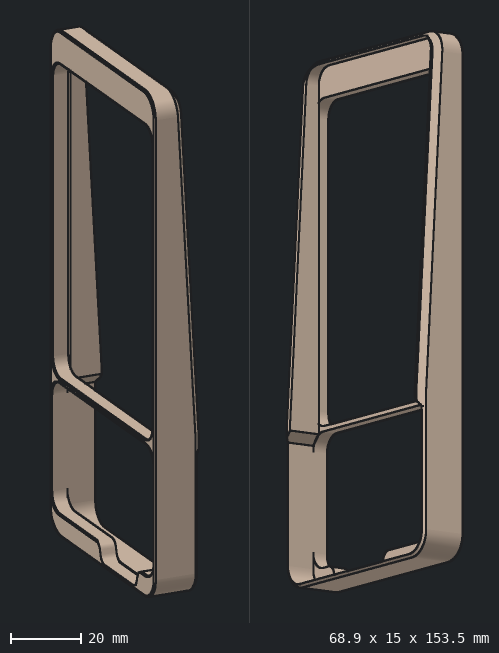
import cadquery as cq

width = 68.9
height = 153.5
depth = 15.0
top_depth = 9.0
taper_start = 47.5
corner_radius = 7.0
back_chamfer = 2.0
front_chamfer = 0.5

plate_thickness = 5.0
wall = 0.9
top_wall = 1.2
cavity_radius = corner_radius - wall

window_radius = 5.0
window_chamfer = 0.3
upper_margin = 1.5
upper_bottom = 47.9
upper_top = height - 10.3
bar_thickness = 1.5
lower_bottom = 6.8
lower_top = upper_bottom - bar_thickness

left_rail_inset = 2.9
right_rail_inset = 3.7
rail_end = 45.9
rail_base = 43.0
rail_top_radius = 5.0

notch_center = 10.9
notch_floor = 1.0
notch_floor_width = 22.7
notch_mouth_width = 25.8
notch_radius = 2.8


def rounded_block(block_width, bottom, top, radius, front, back):
    """Block centred on x = 0 with its four Y-direction edges rounded."""
    return (
        cq.Workplane("XY")
        .box(block_width, back - front, top - bottom, centered=(True, False, False))
        .translate((0, front, bottom))
        .edges("|Y")
        .fillet(radius)
    )


def make_body():
    """Solid frame outline whose back tapers towards the top."""
    side_profile = [(0, 0), (depth, 0), (depth, taper_start), (top_depth, height), (0, height)]
    body = cq.Workplane("YZ").polyline(side_profile).close().extrude(width / 2, both=True)
    body = body.edges("|Y").fillet(corner_radius)
    return body.faces("<Y").chamfer(front_chamfer)


def chamfer_back(body):
    """Bevel the outer rim of the back faces, leaving the fold between them sharp."""
    back_faces = [f for f in body.faces().vals() if f.geomType() == "PLANE" and f.normalAt().y > 0.5]
    fold = cq.Vector(0, depth, taper_start)
    rim = [
        edge
        for face in back_faces
        for edge in face.Edges()
        if (edge.Center() - fold).Length > wall
    ]
    return body.newObject(rim).chamfer(back_chamfer)


def make_cavity():
    """Space behind the plate, narrowed by rails with slanted lower ends."""
    cavity = rounded_block(
        width - 2 * wall, wall, height - top_wall, cavity_radius, plate_thickness, depth
    )
    low_half = width / 2 - wall
    left_face = left_rail_inset - width / 2
    right_face = width / 2 - right_rail_inset
    rail_gap = (
        cq.Workplane("XZ", origin=(0, plate_thickness, 0))
        .polyline([
            (-low_half, 0),
            (low_half, 0),
            (low_half, rail_base),
            (right_face, rail_end),
            (right_face, height - top_wall),
            (left_face, height - top_wall),
            (left_face, rail_end),
            (-low_half, rail_base),
        ])
        .close()
        .extrude(plate_thickness - depth)
        .edges("|Y and >Z")
        .fillet(rail_top_radius)
    )
    return cavity.intersect(rail_gap)


def make_window(window_width, bottom, top):
    """Rounded opening through the plate, flared at the front face."""
    opening = rounded_block(window_width, bottom, top, window_radius, 0, plate_thickness)
    flare = (
        rounded_block(
            window_width + 2 * window_chamfer,
            bottom - window_chamfer,
            top + window_chamfer,
            window_radius + window_chamfer,
            0,
            2 * window_chamfer,
        )
        .faces(">Y")
        .chamfer(window_chamfer)
        .translate((0, -window_chamfer, 0))
    )
    return opening.union(flare)


def cut_notch(body):
    """Slanted notch with rounded shoulders, reaching down to the bottom wall."""
    floor_half = notch_floor_width / 2
    mouth_half = notch_mouth_width / 2
    notch = (
        cq.Workplane("XZ")
        .polyline([
            (notch_center - floor_half, notch_floor),
            (notch_center + floor_half, notch_floor),
            (notch_center + mouth_half, lower_bottom),
            (notch_center - mouth_half, lower_bottom),
        ])
        .close()
        .extrude(-plate_thickness)
        .edges("|Y and <Z")
        .fillet(notch_radius)
    )
    body = body.cut(notch)
    shoulder_box = cq.selectors.BoxSelector(
        (notch_center - mouth_half - wall, -wall, lower_bottom - wall),
        (notch_center + mouth_half + wall, depth, lower_bottom + wall),
    )
    return body.edges("|Y").edges(shoulder_box).fillet(notch_radius)


frame = chamfer_back(make_body())
frame = frame.cut(make_cavity())
frame = frame.cut(make_window(width - 2 * upper_margin, upper_bottom, upper_top))
frame = frame.cut(make_window(width - 2 * wall, lower_bottom, lower_top))
result = cut_notch(frame)